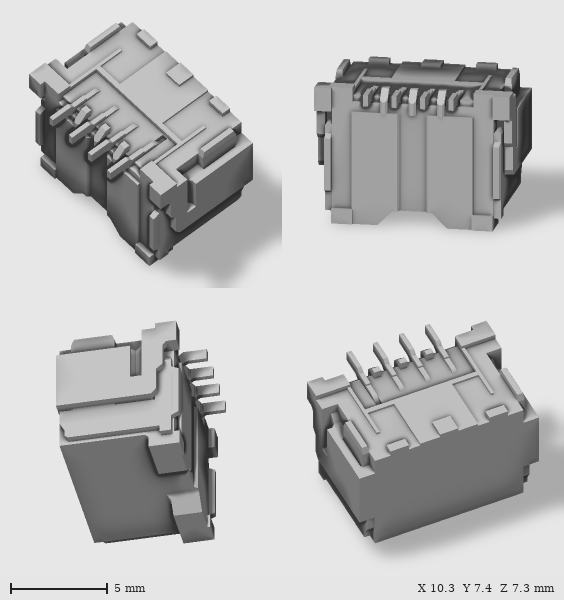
import cadquery as cq


HALF_WIDTH = 5.15
BODY_HALF_WIDTH = 4.26
BACK_Y = 6.37
COLUMN_Y = 0.30
PANEL_Y = 0.12
CORNER_TOP_Z = 7.27
RAISED_DECK_Z = 7.09
DECK_Z = 6.96
WING_TOP_Z = 6.02
BODY_BOTTOM_Z = 0.79

CORNER_DEPTH = 1.12
SHOULDER_BACK_Y = 1.84
POCKET_HALF_WIDTH = 3.19
POCKET_BACK_Y = 2.91
POCKET_FLOOR_Z = 6.80
LEDGE_Z = 6.52
LEDGE_BACK_Y = 0.61
RIDGE_OUTER_X = 3.37
RIDGE_BACK_Y = 4.69
DECK_BAND_BACK_Y = 3.19
CENTER_DECK_HALF_WIDTH = 1.66
SIDE_PAD_INNER_X = 2.30
SIDE_PAD_DEPTH = 0.51
CENTER_PAD_WIDTH = 1.04
CENTER_PAD_DEPTH = 1.00

PANEL_OUTER_X = 3.19
PANEL_INNER_X = 0.81
GROOVE_HALF_WIDTH = 0.66
FOOT_INNER_X = 3.15
FOOT_DEPTH = 1.64
FOOT_CHAMFER = 0.19
ARCH_HALF_WIDTH = 1.83
ARCH_FILLET = 0.25

WING_BOTTOM_Z = 2.74
WING_INNER_X = 4.72
POST_SLOT_BACK_Y = 1.33
LOWER_EDGE_Y = 1.05
LOWER_EDGE_BOTTOM_Z = 3.06
LOWER_EDGE_TOP_Z = 4.31
UPPER_EDGE_Y = 0.72
UPPER_EDGE_BOTTOM_Z = 4.59
UPPER_EDGE_TOP_Z = 5.80
NECK_Y = 0.53
NOTCH_FLOOR_Z = 4.00
NOTCH_BACK_Y = 2.44
NOTCH_INNER_X = 4.65
NOTCH_CHAMFER = 0.21
RAMP_TOP_Z = 6.40
RAMP_BACK_Y = 2.23

TOP_Z = 7.30
PLATE_OUTER_X = 4.65
PLATE_FRONT_Y = 0.37
PLATE_TOP_Z = 2.71
PLATE_FOOT_Z = 0.60
PLATE_FOOT_BACK_Y = 0.97
WEB_BOTTOM_Z = 0.97
WEB_BOTTOM_BACK_Y = 5.85
WEB_HEEL_Y = 6.03
WEB_HEEL_BOTTOM_Z = 1.12
WEB_HEEL_TOP_Z = 1.48
WEB_BACK_Y = 6.28
WEB_BACK_BOTTOM_Z = 1.92
POST_BACK_Y = 1.22
POST_TOP_Z = 5.34
POST_BEVEL_WIDTH = 0.11
POST_BEVEL_HEIGHT = 0.17
TAB_FRONT_Y = 3.36
TAB_BACK_Y = 5.67
TAB_SLOT_BACK_Y = 5.58
TAB_BEVEL_WIDTH = 0.14
TAB_BEVEL_HEIGHT = 0.38
TAB_SIDE_BEVEL = 0.04
RIB_FRONT_Y = -0.02
RIB_OUTER_X = 4.62
RIB_INNER_X = 4.29
RIB_BOTTOM_Z = 1.58
RIB_TOP_Z = 4.75
RIB_BEVEL = 0.19

PITCH = 1.50
CONTACT_COUNT = 4
CONTACT_WIDTH = 0.26
CONTACT_FRONT_Y = -1.03
CONTACT_TAIL_BOTTOM_Z = 6.70
CONTACT_ROOT_Z = 6.40
CONTACT_SLOT_WIDTH = 0.34
CONTACT_SLOT_BACK_Y = 2.87
TAIL_SLOPE_FRONT_Y = 0.23
TAIL_SLOPE_BACK_Y = 0.46
CONTACT_STEP_Y = 1.32
CONTACT_MIDDLE_Z = 7.08
CONTACT_REAR_Z = 6.97
CONTACT_CURVE_Y = 1.90
CONTACT_END_Y = 2.78
BARB_WIDTH = 0.40
BARB_NOSE_WIDTH = 0.18
BARB_NOSE_DEPTH = 0.11
BARB_BACK_Y = 0.89
BARB_CREST_Y = 0.58
BARB_NOSE_TOP_Z = 6.67


def block(x0, x1, y0, y1, z0, z1):
    """Box between two opposite corners."""
    return cq.Workplane("XY").box(x1 - x0, y1 - y0, z1 - z0, centered=False).translate((x0, y0, z0))


def side_profile(points, x0, x1):
    """Prism of a (Y, Z) outline between two X positions."""
    return cq.Workplane("YZ").workplane(offset=x0).polyline(points).close().extrude(x1 - x0)


def both_sides(shape):
    """The shape together with its mirror image across X = 0."""
    return shape.union(shape.mirror("YZ"))


def make_body():
    """Central block with its raised T-shaped deck, back pads and front feet."""
    w = BODY_HALF_WIDTH
    body = block(-w, w, COLUMN_Y, BACK_Y, BODY_BOTTOM_Z, DECK_Z)
    body = body.union(block(-w, w, COLUMN_Y, CORNER_DEPTH, WING_TOP_Z, CORNER_TOP_Z))

    body = body.union(block(-RIDGE_OUTER_X, RIDGE_OUTER_X,
                            CORNER_DEPTH, DECK_BAND_BACK_Y, DECK_Z, RAISED_DECK_Z))
    body = body.union(block(-CENTER_DECK_HALF_WIDTH, CENTER_DECK_HALF_WIDTH,
                            POCKET_BACK_Y, BACK_Y, DECK_Z, RAISED_DECK_Z))
    ridge = block(POCKET_HALF_WIDTH, RIDGE_OUTER_X, CORNER_DEPTH, RIDGE_BACK_Y, DECK_Z, RAISED_DECK_Z)
    body = body.union(both_sides(ridge))

    side_pad = block(SIDE_PAD_INNER_X, RIDGE_OUTER_X, BACK_Y - SIDE_PAD_DEPTH, BACK_Y, DECK_Z, CORNER_TOP_Z)
    body = body.union(both_sides(side_pad))
    body = body.union(block(-CENTER_PAD_WIDTH / 2, CENTER_PAD_WIDTH / 2,
                            BACK_Y - CENTER_PAD_DEPTH, BACK_Y, DECK_Z, CORNER_TOP_Z))

    p = POCKET_HALF_WIDTH
    body = body.cut(block(-p, p, 0, POCKET_BACK_Y, POCKET_FLOOR_Z, TOP_Z))
    body = body.cut(block(-p, p, 0, LEDGE_BACK_Y, LEDGE_Z, TOP_Z))
    return body.union(make_front())


def make_front():
    """Front panels and feet, with the central groove and the arch below it."""
    panels = block(-PANEL_OUTER_X, PANEL_OUTER_X, PANEL_Y, COLUMN_Y, 0, WING_TOP_Z)
    groove = (
        cq.Workplane("XY")
        .polyline([(-PANEL_INNER_X, PANEL_Y), (PANEL_INNER_X, PANEL_Y),
                   (GROOVE_HALF_WIDTH, COLUMN_Y), (-GROOVE_HALF_WIDTH, COLUMN_Y)])
        .close()
        .extrude(WING_TOP_Z)
    )
    panels = panels.cut(groove)

    foot_bar = (
        cq.Workplane("YZ")
        .workplane(offset=-BODY_HALF_WIDTH)
        .moveTo(COLUMN_Y, 0)
        .lineTo(FOOT_DEPTH, 0)
        .lineTo(FOOT_DEPTH, BODY_BOTTOM_Z - FOOT_CHAMFER)
        .lineTo(FOOT_DEPTH + FOOT_CHAMFER, BODY_BOTTOM_Z)
        .lineTo(COLUMN_Y, BODY_BOTTOM_Z)
        .close()
        .extrude(2 * BODY_HALF_WIDTH)
    )
    toe = block(FOOT_INNER_X, BODY_HALF_WIDTH, 0, COLUMN_Y, 0, BODY_BOTTOM_Z)

    arch_top_half_width = ARCH_HALF_WIDTH - BODY_BOTTOM_Z
    arch = (
        cq.Workplane("XZ")
        .polyline([(-ARCH_HALF_WIDTH, 0), (ARCH_HALF_WIDTH, 0),
                   (arch_top_half_width, BODY_BOTTOM_Z), (-arch_top_half_width, BODY_BOTTOM_Z)])
        .close()
        .extrude(-BACK_Y)
        .edges("|Y and >Z")
        .fillet(ARCH_FILLET)
    )
    return panels.union(foot_bar).union(both_sides(toe)).cut(arch)


def make_wing():
    """Right-hand side wing with its corner block, notch, ramp and plate slots."""
    outline = [
        (0, CORNER_TOP_Z), (CORNER_DEPTH, CORNER_TOP_Z), (CORNER_DEPTH, DECK_Z),
        (SHOULDER_BACK_Y, DECK_Z), (SHOULDER_BACK_Y, WING_TOP_Z), (BACK_Y, WING_TOP_Z),
        (BACK_Y, WING_BOTTOM_Z), (POST_SLOT_BACK_Y, WING_BOTTOM_Z),
        (LOWER_EDGE_Y, LOWER_EDGE_BOTTOM_Z), (LOWER_EDGE_Y, LOWER_EDGE_TOP_Z),
        (UPPER_EDGE_Y, UPPER_EDGE_BOTTOM_Z), (UPPER_EDGE_Y, UPPER_EDGE_TOP_Z),
        (NECK_Y, WING_TOP_Z), (0, WING_TOP_Z),
    ]
    wing = side_profile(outline, BODY_HALF_WIDTH, HALF_WIDTH)

    post_slot = block(BODY_HALF_WIDTH, WING_INNER_X, 0, POST_SLOT_BACK_Y, WING_BOTTOM_Z, WING_TOP_Z)
    tab_slot = block(BODY_HALF_WIDTH, WING_INNER_X, TAB_FRONT_Y, TAB_SLOT_BACK_Y, WING_BOTTOM_Z, WING_TOP_Z)
    notch = (
        block(NOTCH_INNER_X, HALF_WIDTH, SHOULDER_BACK_Y, NOTCH_BACK_Y, NOTCH_FLOOR_Z, WING_TOP_Z)
        .edges("|Z and <X and >Y")
        .chamfer(NOTCH_CHAMFER)
    )
    ramp = side_profile(
        [(SHOULDER_BACK_Y, WING_TOP_Z), (RAMP_BACK_Y, WING_TOP_Z), (SHOULDER_BACK_Y, RAMP_TOP_Z)],
        BODY_HALF_WIDTH, NOTCH_INNER_X)
    return wing.cut(post_slot).cut(tab_slot).cut(notch).union(ramp)


def bevelled_bar(back_y, front_y, top_z, bevel_width, bevel_height):
    """Upright part of the solder plate with both long top edges bevelled."""
    inner = BODY_HALF_WIDTH
    outer = PLATE_OUTER_X
    return (
        cq.Workplane("XZ", origin=(0, back_y, 0))
        .polyline([(inner, PLATE_TOP_Z), (outer, PLATE_TOP_Z), (outer, top_z - bevel_height),
                   (outer - bevel_width, top_z), (inner + bevel_width, top_z), (inner, top_z - bevel_height)])
        .close()
        .extrude(back_y - front_y)
    )


def make_solder_plate():
    """Right-hand metal plate: lower web, front post with solder rib, and top tab."""
    inner = BODY_HALF_WIDTH
    web = side_profile(
        [(PLATE_FRONT_Y, PLATE_FOOT_Z), (PLATE_FOOT_BACK_Y, PLATE_FOOT_Z), (PLATE_FOOT_BACK_Y, WEB_BOTTOM_Z),
         (WEB_BOTTOM_BACK_Y, WEB_BOTTOM_Z), (WEB_HEEL_Y, WEB_HEEL_BOTTOM_Z), (WEB_HEEL_Y, WEB_HEEL_TOP_Z),
         (WEB_BACK_Y, WEB_BACK_BOTTOM_Z), (WEB_BACK_Y, PLATE_TOP_Z), (PLATE_FRONT_Y, PLATE_TOP_Z)],
        inner, PLATE_OUTER_X)
    post = bevelled_bar(POST_BACK_Y, PLATE_FRONT_Y, POST_TOP_Z, POST_BEVEL_WIDTH, POST_BEVEL_HEIGHT)
    rib = side_profile(
        [(PLATE_FRONT_Y, RIB_BOTTOM_Z), (RIB_FRONT_Y, RIB_BOTTOM_Z + RIB_BEVEL),
         (RIB_FRONT_Y, RIB_TOP_Z - RIB_BEVEL), (PLATE_FRONT_Y, RIB_TOP_Z)],
        RIB_INNER_X, RIB_OUTER_X)
    bevel_z = TOP_Z - TAB_BEVEL_HEIGHT
    tab_side = side_profile(
        [(TAB_FRONT_Y, PLATE_TOP_Z), (TAB_BACK_Y, PLATE_TOP_Z), (TAB_BACK_Y, bevel_z),
         (TAB_BACK_Y - TAB_BEVEL_WIDTH, TOP_Z), (TAB_FRONT_Y + TAB_BEVEL_WIDTH, TOP_Z),
         (TAB_FRONT_Y, bevel_z)],
        inner, PLATE_OUTER_X)
    tab = bevelled_bar(TAB_BACK_Y, TAB_FRONT_Y, TOP_Z, TAB_SIDE_BEVEL, TAB_BEVEL_HEIGHT).intersect(tab_side)
    return web.union(post).union(rib).union(tab)


def make_contact(x):
    """One contact: straight tail, stepped top and a rounded back end."""
    return (
        cq.Workplane("YZ")
        .workplane(offset=x - CONTACT_WIDTH / 2)
        .moveTo(CONTACT_FRONT_Y, CONTACT_TAIL_BOTTOM_Z)
        .lineTo(CONTACT_FRONT_Y, TOP_Z)
        .lineTo(TAIL_SLOPE_FRONT_Y, TOP_Z)
        .lineTo(TAIL_SLOPE_BACK_Y, CONTACT_MIDDLE_Z)
        .lineTo(CONTACT_STEP_Y, CONTACT_MIDDLE_Z)
        .lineTo(CONTACT_STEP_Y, CONTACT_REAR_Z)
        .lineTo(CONTACT_CURVE_Y, CONTACT_REAR_Z)
        .spline([(CONTACT_END_Y, LEDGE_Z)], tangents=[(1, 0), (1, 0)], includeCurrent=True)
        .lineTo(CONTACT_END_Y, CONTACT_ROOT_Z)
        .lineTo(COLUMN_Y, CONTACT_ROOT_Z)
        .lineTo(COLUMN_Y, LEDGE_Z)
        .lineTo(0, CONTACT_TAIL_BOTTOM_Z)
        .close()
        .extrude(CONTACT_WIDTH)
    )


def make_barb(x):
    """One wedge with a sloped front and a narrowed vertical nose."""
    profile = side_profile(
        [(0, WING_TOP_Z), (0, BARB_NOSE_TOP_Z), (BARB_CREST_Y, CORNER_TOP_Z),
         (BARB_BACK_Y, CORNER_TOP_Z), (BARB_BACK_Y, WING_TOP_Z)],
        -BARB_WIDTH / 2, BARB_WIDTH / 2)
    plan = (
        cq.Workplane("XY")
        .workplane(offset=WING_TOP_Z)
        .polyline([(-BARB_NOSE_WIDTH / 2, 0), (BARB_NOSE_WIDTH / 2, 0), (BARB_WIDTH / 2, BARB_NOSE_DEPTH),
                   (BARB_WIDTH / 2, BARB_BACK_Y), (-BARB_WIDTH / 2, BARB_BACK_Y),
                   (-BARB_WIDTH / 2, BARB_NOSE_DEPTH)])
        .close()
        .extrude(TOP_Z - WING_TOP_Z)
    )
    return profile.intersect(plan).translate((x, 0, 0))


contact_x = [(i - (CONTACT_COUNT - 1) / 2) * PITCH for i in range(CONTACT_COUNT)]
barb_x = [x + PITCH / 2 for x in contact_x[:-1]]

result = make_body().union(both_sides(make_wing())).union(both_sides(make_solder_plate()))

last_x = contact_x[-1]
result = result.cut(block(last_x - CONTACT_SLOT_WIDTH / 2, last_x + CONTACT_SLOT_WIDTH / 2,
                          0, CONTACT_SLOT_BACK_Y, LEDGE_Z, POCKET_FLOOR_Z))

for x in contact_x:
    result = result.union(make_contact(x))
for x in barb_x:
    result = result.union(make_barb(x))